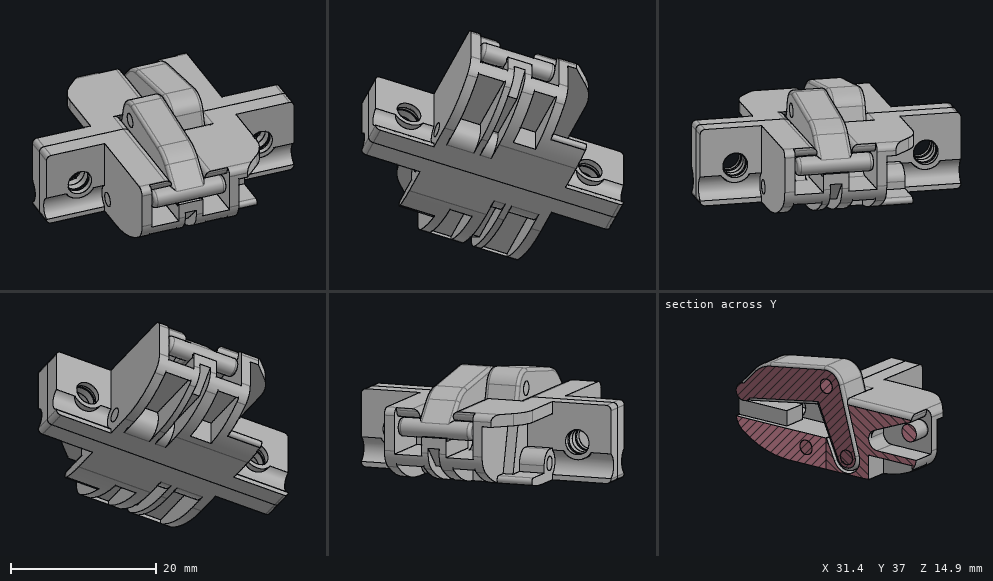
import cadquery as cq
import math

hinge_length = 31.4
half_length = hinge_length / 2
body_half_width = 9.8
top_z = 10.95

top_edge_radius = 1.0
end_radius = 3.0
belly_radius = 14.15
belly_start_x = -6.3

plate_bottom_z = 9.25
corner_chamfer = 3.85
corner_radius = 5.0

flange_half_span = 18.5
flange_total_thickness = 5.0
flange_thickness = flange_total_thickness / 2
flange_end_radius = 0.7
screw_y = 13.5
screw_z = 5.5
screw_radius = 1.75
screw_rim_radius = 2.45
screw_groove_radius = 1.92
screw_groove_depth = 0.85
screw_groove_width = 0.5

pivot_x = -3.5
pivot_z = 2.48
center_pin_z = 12.1
pin_radius = 1.0

arm_width = 4.95
arm_edge_radius = 0.48
pivot_boss_radius = 2.0
center_boss_radius = 2.78
arm_slope = 8.5
shoulder_radius = 5.0
shoulder_x = -9.75
nose_angle = 45.0
slider_x = -14.4
slider_z = 8.3
slider_radius = 1.3
slider_min_y = -2.9
slider_max_y = 7.9
slider_edge_radius = 0.48

wall_y = -4.65
step_y = -6.15
step_top_x = -5.75
step_bottom_x = -7.88
base_plate_z = 1.45
base_plate_x = -10.1
base_plate_nose_radius = 0.5
knuckle_left_x = pivot_x - pivot_boss_radius
knuckle_top_z = pivot_z + pivot_boss_radius

chamber_min_y = -3.3
chamber_max_y = 8.32
chamber_floor_z = 4.6
chamber_ceiling_z = 9.6
chamber_back_x = -7.4
track_radius = 1.45
track_min_y = -0.6
track_max_y = 6.5
lip_x = -14.85
lip_radius = 1.05

slot_edge_radius = 1.0
slot_inner_edge_radius = 0.8
leg_clearance = 0.25

rib_min_y = 0.7
rib_max_y = 4.3
rib_top_z = 6.8
tab_top_z = 7.25
tab_thickness = 0.48
notch_min_y = 1.7
notch_max_y = 3.33
notch_top_z = 5.75
notch_bottom_z = 2.78
notch_inner_x = -half_length + notch_top_z - notch_bottom_z

pocket_front_x = -14.87
pocket_top_z = 3.6
bearing_radius = pivot_z

OVERCUT = 1.85


def box(x0, x1, y0, y1, z0, z1):
    """Axis-aligned block given by its limits."""
    return cq.Workplane("XY").box(x1 - x0, y1 - y0, z1 - z0, centered=False).translate((x0, y0, z0))


def side_sketch():
    """Empty sketch in the XZ plane."""
    return cq.Workplane("XZ")


def along_y(sketch, y0, y1):
    """Extrude a closed XZ sketch from y0 to y1."""
    return sketch.extrude(-(y1 - y0)).translate((0, y0, 0))


def cylinder_y(x, z, radius, y0, y1):
    """Round bar parallel to Y."""
    return along_y(side_sketch().center(x, z).circle(radius), y0, y1)


def on_circle(x, z, radius, degrees):
    """Point on a circle in the XZ plane."""
    angle = math.radians(degrees)
    return (x + radius * math.cos(angle), z + radius * math.sin(angle))


def leg_sketch(pivot_side_x, clearance):
    """Outline around the pivot boss and the centre boss, joined by their outer tangents."""
    low_radius = pivot_boss_radius + clearance
    high_radius = center_boss_radius + clearance
    rise = center_pin_z - pivot_z
    span = math.hypot(pivot_side_x, rise)
    lean = math.degrees(math.atan2(rise, -pivot_side_x))
    spread = math.degrees(math.acos((low_radius - high_radius) / span))
    low = (pivot_side_x, pivot_z, low_radius)
    high = (0, center_pin_z, high_radius)
    return (
        side_sketch()
        .moveTo(*on_circle(*low, lean - spread))
        .lineTo(*on_circle(*high, lean - spread))
        .threePointArc(on_circle(*high, lean), on_circle(*high, lean + spread))
        .lineTo(*on_circle(*low, lean + spread))
        .threePointArc(on_circle(*low, lean + 180), on_circle(*low, lean - spread))
        .close()
    )


def outer_profile():
    """Side outline of a housing: flat top, rounded end, bellied underside."""
    end_x = -half_length + end_radius
    end_z = belly_radius - math.sqrt((belly_radius - end_radius) ** 2 - (end_x - belly_start_x) ** 2)
    tangent = math.degrees(math.atan2(end_z - belly_radius, end_x - belly_start_x))
    belly_mid = (tangent - 90) / 2
    end_mid = (tangent - 180) / 2
    top_edge = (-half_length + top_edge_radius, top_z - top_edge_radius, top_edge_radius)
    end = (end_x, end_z, end_radius)
    belly = (belly_start_x, belly_radius, belly_radius)
    return (
        side_sketch()
        .moveTo(0, 0)
        .lineTo(0, top_z)
        .lineTo(-half_length + top_edge_radius, top_z)
        .threePointArc(on_circle(*top_edge, 135), on_circle(*top_edge, 180))
        .lineTo(-half_length, end_z)
        .threePointArc(on_circle(*end, end_mid), on_circle(*end, tangent))
        .threePointArc(on_circle(*belly, belly_mid), (belly_start_x, 0))
        .close()
    )


def outer_block():
    """Full-width block with the large rounded corner in plan."""
    block = along_y(outer_profile(), -body_half_width, body_half_width)
    plan = (
        cq.Workplane("XY")
        .moveTo(0, -body_half_width)
        .lineTo(0, body_half_width)
        .lineTo(-half_length, body_half_width)
        .lineTo(-half_length, -body_half_width + corner_chamfer)
        .lineTo(-half_length + corner_chamfer, -body_half_width)
        .close()
        .extrude(top_z)
    )
    corner = cq.selectors.NearestToPointSelector((-half_length + corner_chamfer, -body_half_width, top_z / 2))
    plan = plan.edges("|Z").edges(corner).fillet(corner_radius)
    return block.intersect(plan)


def screw_disc(side, radius, x0, x1):
    """Disc on the axis of the screw hole at one end of the flange; side is -1 or 1."""
    plane = cq.Workplane("YZ", origin=(x0, 0, 0))
    return plane.center(side * screw_y, screw_z).circle(radius).extrude(x1 - x0)


def flange():
    """Mounting flange, undercut along its foot by the clearance for the opposite knuckle."""
    plate = box(-flange_thickness, 0, -flange_half_span, flange_half_span, 0, top_z)
    plate = plate.edges("|X").fillet(flange_end_radius)
    groove_x = -flange_thickness + screw_groove_depth
    for side in (-1, 1):
        near, far = sorted((side * body_half_width, side * (flange_half_span + OVERCUT)))
        undercut = cylinder_y(pivot_x, pivot_z, pivot_boss_radius, near, far)
        plate = plate.cut(undercut.cut(screw_disc(side, screw_rim_radius, -flange_thickness, 0)))
        plate = plate.cut(screw_disc(side, screw_radius, -flange_thickness, 0))
        plate = plate.cut(screw_disc(side, screw_groove_radius, groove_x, groove_x + screw_groove_width))
    body_space = box(-flange_thickness, 0, step_y, body_half_width, 0, top_z)
    return plate.cut(body_space)


def side_recess():
    """Space below the top plate, outside the stepped wall and above the base plate."""
    outer_x = -half_length - OVERCUT
    outer_y = -body_half_width - OVERCUT
    nose_x = base_plate_x + base_plate_nose_radius
    wall = (
        side_sketch()
        .moveTo(outer_x, -OVERCUT)
        .lineTo(nose_x, -OVERCUT)
        .lineTo(nose_x, base_plate_z - 2 * base_plate_nose_radius)
        .threePointArc((base_plate_x, base_plate_z - base_plate_nose_radius), (nose_x, base_plate_z))
        .lineTo(step_bottom_x, base_plate_z)
        .lineTo(step_top_x, plate_bottom_z)
        .lineTo(outer_x, plate_bottom_z)
        .close()
    )
    step = box(step_bottom_x, -flange_thickness, outer_y, step_y, base_plate_z, plate_bottom_z)
    return along_y(wall, outer_y, wall_y).union(step)


def outer_knuckle():
    """Bearing of the pivot pin that stands on the base plate and leans on the flange."""
    web = (
        side_sketch()
        .moveTo(knuckle_left_x, 0)
        .lineTo(knuckle_left_x, pivot_z)
        .radiusArc((pivot_x, knuckle_top_z), pivot_boss_radius)
        .lineTo(-flange_thickness, knuckle_top_z)
        .lineTo(-flange_thickness, 0)
        .close()
    )
    web = along_y(web, -body_half_width, step_y)
    return web.union(cylinder_y(pivot_x, pivot_z, pivot_boss_radius, -body_half_width, step_y))


def chamber_mouth(sketch):
    """Close a chamber outline: along the ceiling, over the rounded lip and out through the housing end."""
    outside_x = -half_length - OVERCUT
    return (
        sketch
        .lineTo(lip_x + lip_radius, chamber_ceiling_z)
        .radiusArc((lip_x, chamber_ceiling_z + lip_radius), lip_radius)
        .lineTo(lip_x, top_z + OVERCUT)
        .lineTo(outside_x, top_z + OVERCUT)
        .lineTo(outside_x, chamber_floor_z)
        .close()
    )


def chamber():
    """Chamber for the slider: a round-ended sloping track with a taller bay at each side."""
    outside = (-half_length - OVERCUT, chamber_floor_z)
    track = (chamber_back_x - track_radius, chamber_floor_z + track_radius, track_radius)
    ceiling_slope = math.degrees(math.atan2(slider_z - track[1], track[0] - slider_x))
    back_corner = (chamber_back_x, chamber_ceiling_z)

    track_sketch = side_sketch().moveTo(*outside).lineTo(track[0], chamber_floor_z)
    track_sketch = track_sketch.threePointArc(on_circle(*track, 0), on_circle(*track, 90 - ceiling_slope))
    sloping_track = along_y(chamber_mouth(track_sketch), track_min_y, track_max_y)

    round_sketch = side_sketch().moveTo(*outside).lineTo(track[0], chamber_floor_z)
    round_sketch = round_sketch.threePointArc(on_circle(*track, -45), on_circle(*track, 0))
    round_bay = along_y(chamber_mouth(round_sketch.lineTo(*back_corner)), chamber_min_y, track_min_y)

    square_sketch = side_sketch().moveTo(*outside).lineTo(chamber_back_x, chamber_floor_z)
    square_bay = along_y(chamber_mouth(square_sketch.lineTo(*back_corner)), track_max_y, chamber_max_y)
    return sloping_track.union(round_bay).union(square_bay)


def rounded_mouth(x0, x1, wall, direction, radius):
    """Cutter that rounds the top edge of a slot wall; direction points from the slot into the wall."""
    sketch = (
        cq.Workplane("YZ")
        .moveTo(wall - direction * OVERCUT, top_z - radius)
        .lineTo(wall, top_z - radius)
        .radiusArc((wall + direction * radius, top_z), direction * radius)
        .lineTo(wall - direction * OVERCUT, top_z)
        .close()
    )
    return sketch.extrude(x1 - x0).translate((x0, 0, 0))


def arm_slot():
    """Slot for the arm whose slider runs in this housing."""
    slot = box(-half_length - OVERCUT, 0, 0, arm_width, chamber_floor_z, top_z + OVERCUT)
    outer_edge = rounded_mouth(lip_x, 0, arm_width, 1, slot_edge_radius)
    inner_edge = rounded_mouth(lip_x, pivot_x, 0, -1, slot_inner_edge_radius)
    return slot.union(outer_edge).union(inner_edge)


def leg_pocket():
    """Pocket for the leg of the other arm, which turns on this housing's pivot pin."""
    pocket = along_y(leg_sketch(pivot_x, leg_clearance), -arm_width, 0)
    pocket = pocket.union(box(pivot_x, 0, -arm_width, 0, chamber_floor_z, top_z))
    mouth = rounded_mouth(pivot_x, 0, -arm_width, -1, slot_edge_radius)
    return pocket.union(mouth)


def stop_rib():
    """Rib along the middle of the chamber floor, raised into a tab at the mouth."""
    tab = box(-half_length, -half_length + tab_thickness, rib_min_y, rib_max_y, chamber_floor_z, tab_top_z)
    return tab.union(box(-half_length, chamber_back_x, rib_min_y, rib_max_y, chamber_floor_z, rib_top_z))


def tab_notch():
    """Sloped notch below the tab that runs on under the chamber floor."""
    sketch = (
        side_sketch()
        .moveTo(-half_length, notch_top_z)
        .lineTo(notch_inner_x, notch_bottom_z)
        .lineTo(pivot_x, notch_bottom_z)
        .lineTo(pivot_x, -OVERCUT)
        .lineTo(-half_length, -OVERCUT)
        .close()
    )
    return along_y(sketch, notch_min_y, notch_max_y)


def bottom_pockets():
    """Pockets in the underside; those on the +Y side end at the round bearing of the pivot pin."""
    bearing = cylinder_y(pivot_x, pivot_z, bearing_radius, 0, chamber_max_y)
    bearing_x = pivot_x - bearing_radius
    bearing = bearing.union(box(bearing_x, pivot_x, notch_min_y, notch_max_y, pivot_z, pocket_top_z))
    outer = box(pocket_front_x, pivot_x, rib_max_y, chamber_max_y, -OVERCUT, pocket_top_z)
    inner = box(pocket_front_x, chamber_back_x, chamber_min_y, 0, -OVERCUT, pocket_top_z)
    return outer.union(tab_notch()).cut(bearing).union(inner)


def make_housing():
    """Housing on the -X side, with its half of the mounting flange."""
    body = outer_block().cut(side_recess()).union(outer_knuckle())
    inner_space = chamber().union(arm_slot()).cut(stop_rib())
    body = body.cut(inner_space).cut(leg_pocket()).cut(bottom_pockets())
    body = body.union(flange())
    return body.cut(cylinder_y(pivot_x, pivot_z, pin_radius, -body_half_width, body_half_width))


def beam_sketch():
    """Outline of the arm from the centre boss to the slider."""
    center = (0, center_pin_z, center_boss_radius)
    slider = (slider_x, slider_z, slider_radius)
    top_angle = 90 + arm_slope
    nose_top = 90 + nose_angle
    span = math.hypot(slider_x, center_pin_z - slider_z)
    lean = math.degrees(math.atan2(slider_z - center_pin_z, slider_x))
    under = lean + math.degrees(math.acos((slider_radius - center_boss_radius) / span))
    top_start = on_circle(*center, top_angle)
    shoulder_z = top_start[1] + (shoulder_x - top_start[0]) * math.tan(math.radians(arm_slope))
    turn = (shoulder_x, shoulder_z)
    shoulder = on_circle(*turn, shoulder_radius, top_angle - 180) + (shoulder_radius,)
    return (
        side_sketch()
        .moveTo(*top_start)
        .lineTo(*turn)
        .threePointArc(on_circle(*shoulder, (top_angle + nose_top) / 2), on_circle(*shoulder, nose_top))
        .lineTo(*on_circle(*slider, nose_top))
        .threePointArc(on_circle(*slider, (nose_top + under + 360) / 2), on_circle(*slider, under))
        .lineTo(*on_circle(*center, under))
        .threePointArc(on_circle(*center, (under + top_angle) / 2), top_start)
        .close()
    )


def make_arm():
    """Bent arm: leg on the +X pivot, beam and crosswise slider on the -X side."""
    leg = along_y(leg_sketch(-pivot_x, 0), 0, arm_width)
    beam = along_y(beam_sketch(), 0, arm_width)
    arm = leg.union(beam).clean()
    arm = arm.faces("<Y or >Y").edges().fillet(arm_edge_radius)
    slider = cylinder_y(slider_x, slider_z, slider_radius, slider_min_y, slider_max_y)
    slider = slider.faces("<Y or >Y").edges().fillet(slider_edge_radius)
    arm = arm.union(slider)
    for x, z in ((0, center_pin_z), (-pivot_x, pivot_z)):
        arm = arm.cut(cylinder_y(x, z, pin_radius, 0, arm_width))
    return arm


def both_sides(part):
    """Solids of a part and of its half-turn copy."""
    return [part.rotate((0, 0, 0), (0, 0, 1), turn).solids().val() for turn in (0, 180)]


pivot_pin = cylinder_y(pivot_x, pivot_z, pin_radius, -body_half_width, body_half_width)
center_pin = cylinder_y(0, center_pin_z, pin_radius, -arm_width, arm_width)

housings = both_sides(make_housing())
arms = both_sides(make_arm())
pivot_pins = both_sides(pivot_pin)

result = cq.Compound.makeCompound([*housings, *arms, *pivot_pins, center_pin.val()])